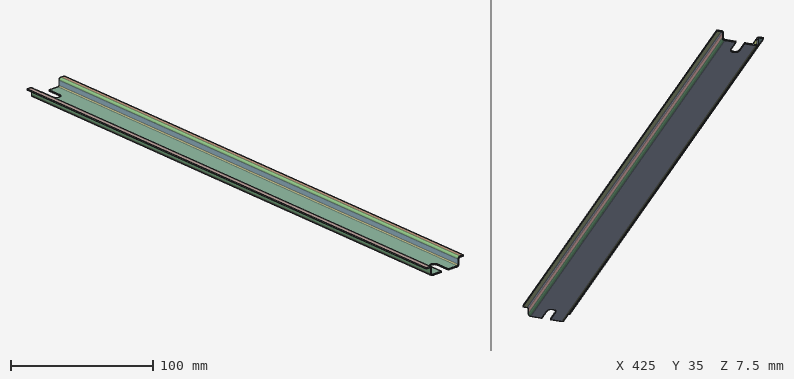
import cadquery as cq

length = 425.0
rail_width = 35.0
rail_height = 7.5
thickness = 1.0

channel_width = 26.8
inner_bend_radius = 0.8
outer_bend_radius = inner_bend_radius + thickness

slot_width = 6.5
slot_depth = 14.5


def make_rail():
    """Sheet-metal hat section extruded along X, centred on the origin in X and Y."""
    rail_edge = rail_width / 2
    wall_outer = channel_width / 2
    wall_inner = wall_outer - thickness
    flange_underside = rail_height - thickness
    half_section = (
        cq.Workplane("YZ", origin=(-length / 2, 0, 0))
        .lineTo(wall_outer - outer_bend_radius, 0)
        .radiusArc((wall_outer, outer_bend_radius), -outer_bend_radius)
        .lineTo(wall_outer, flange_underside - inner_bend_radius)
        .radiusArc((wall_outer + inner_bend_radius, flange_underside), inner_bend_radius)
        .lineTo(rail_edge, flange_underside)
        .lineTo(rail_edge, rail_height)
        .lineTo(wall_inner + outer_bend_radius, rail_height)
        .radiusArc((wall_inner, rail_height - outer_bend_radius), -outer_bend_radius)
        .lineTo(wall_inner, thickness + inner_bend_radius)
        .radiusArc((wall_inner - inner_bend_radius, thickness), inner_bend_radius)
        .lineTo(0, thickness)
        .close()
        .extrude(length)
    )
    return half_section.union(half_section.mirror("XZ"))


def make_end_slots():
    """Round-ended slots through the web, centred on the end faces so half of each cuts."""
    return (
        cq.Workplane("XY")
        .pushPoints([(-length / 2, 0), (length / 2, 0)])
        .slot2D(2 * slot_depth, slot_width)
        .extrude(rail_height)
    )


result = make_rail().cut(make_end_slots())